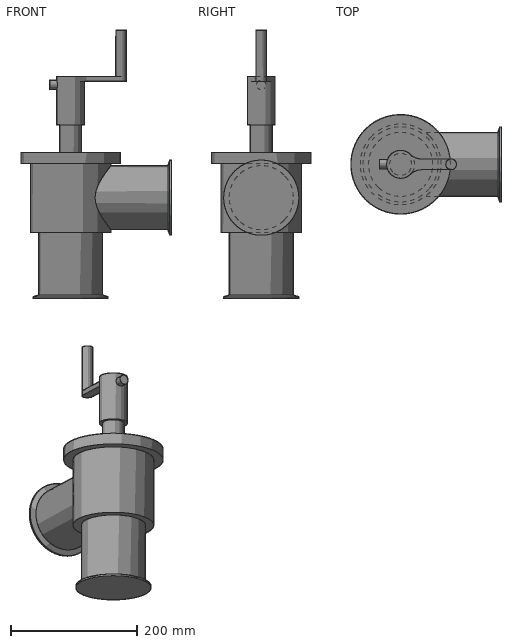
import cadquery as cq
import math


barrel_radius = 128.0 / 2
barrel_bottom = 104.5
cover_radius = 157.5 / 2
cover_bottom = 213.5
cover_top = 231.5
port_radius = 101.5 / 2
port_length = 159.7
side_port_height = port_length
ferrule_radius = 119 / 2
ferrule_rim = 3.0
ferrule_taper = 3.0

spindle_radius = 35.0 / 2

hub_radius = 44.0 / 2
hub_bottom = 275.0
hub_top = 351.7
arm_thickness = 8.0
arm_reach = 80.0
blend_radius = 25.5
grip_radius = 17 / 2
grip_top = 425.0
pin_radius = 15.0 / 2
pin_height = 338.0
pin_reach = 33.0


def cylinder(radius, bottom, top):
    """Cylinder about the Z axis between two heights."""
    return cq.Workplane("XY").workplane(offset=bottom).circle(radius).extrude(top - bottom)


def make_port(length):
    """Round tube body with a tapered clamp ferrule, its end face at Z = 0."""
    return (
        cq.Workplane("XZ")
        .lineTo(ferrule_radius, 0)
        .lineTo(ferrule_radius, ferrule_rim)
        .lineTo(port_radius, ferrule_rim + ferrule_taper)
        .lineTo(port_radius, length)
        .lineTo(0, length)
        .close()
        .revolve(360, (0, 0, 0), (0, 1, 0))
    )


def make_housing():
    barrel = cylinder(barrel_radius, barrel_bottom, cover_bottom)
    cover = cylinder(cover_radius, cover_bottom, cover_top)
    bottom_port = make_port(barrel_bottom)
    side_port = (
        make_port(port_length)
        .rotate((0, 0, 0), (0, 1, 0), -90)
        .translate((port_length, 0, side_port_height))
    )
    return barrel.union(cover).union(bottom_port).union(side_port)


def make_spindle():
    return cylinder(spindle_radius, cover_top, hub_bottom)


def make_arm():
    """Flat arm with a rounded end and concave blends into the hub circle."""
    half_width = grip_radius
    center_distance = hub_radius + blend_radius
    center_y = half_width + blend_radius
    center_x = math.sqrt(center_distance**2 - center_y**2)
    hub_x = center_x * hub_radius / center_distance
    hub_y = center_y * hub_radius / center_distance
    hub_angle = math.atan2(-center_y, -center_x)
    middle_angle = (hub_angle - math.pi / 2) / 2
    middle_x = center_x + blend_radius * math.cos(middle_angle)
    middle_y = center_y + blend_radius * math.sin(middle_angle)
    return (
        cq.Workplane("XY")
        .workplane(offset=hub_top - arm_thickness)
        .moveTo(hub_x, hub_y)
        .threePointArc((middle_x, middle_y), (center_x, half_width))
        .lineTo(arm_reach, half_width)
        .threePointArc((arm_reach + half_width, 0), (arm_reach, -half_width))
        .lineTo(center_x, -half_width)
        .threePointArc((middle_x, -middle_y), (hub_x, -hub_y))
        .threePointArc((-hub_radius, 0), (hub_x, hub_y))
        .close()
        .extrude(arm_thickness)
    )


def make_crank():
    hub = cylinder(hub_radius, hub_bottom, hub_top)
    grip = cylinder(grip_radius, hub_top - arm_thickness, grip_top).translate((arm_reach, 0, 0))
    pin = (
        cq.Workplane("YZ")
        .center(0, pin_height)
        .circle(pin_radius)
        .extrude(-pin_reach)
    )
    return hub.union(make_arm()).union(grip).union(pin)


housing = make_housing()
spindle = make_spindle()
crank = make_crank()

result = cq.Compound.makeCompound([*housing.solids().vals(), spindle.val(), *crank.solids().vals()])